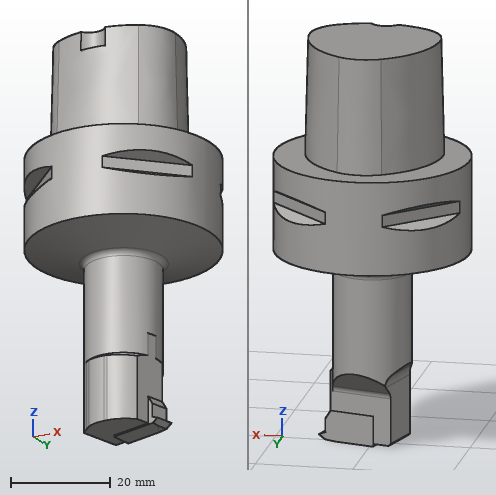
import cadquery as cq
import math


total_length = 84.0
shank_length = 24.0
insert_bottom = shank_length - total_length
insert_overhang = 0.6
head_bottom = insert_bottom + insert_overhang

lobe_directions = (90, 210, 330)
half_arc = 30
lobe_center_distance = 5.6
lobe_base_radius = 9.15
flatter_radius_increase = lobe_center_distance * math.sqrt(3)
shank_taper = 1 / 40

notch_radius = 3.4
notch_center_y = -14.4
notch_depth = 4.0

flange_radius = 40.0 / 2
flange_height = 19.5
neck_radius = 16.0 / 2
cone_angle = 15
cone_height = (flange_radius - neck_radius) * math.tan(math.radians(cone_angle))
neck_fillet = 1.35

groove_count = 4
groove_center_z = -8.1
groove_floor_distance = 17.6
groove_floor_width = 2.4
groove_wall_angle = 30

head_turn = -15
head_top = -44.8
back_flat_x = -5.6
rake_flat_y = 3.1
tip_flat_x = 7.9
tip_flat_top = -39.9
back_runout_end = -46.45
rake_runout_end = -49.4
back_runout_radius = 3.6
rake_runout_radius = 1.7
runout_angle = 45
back_edge_chamfer = 0.5
head_leaves_neck = 244
middle_arc = ((-1.9, -8.0), (0.2, -8.4), (2.35, -8.15))
tip_arc = ((3.1, -8.0), (6.0, -6.5))
tip_arc_end_y = -4.1

insert_seat_y = -1.0
insert_inner_x = -1.7
insert_outer_x = 9.1
insert_top = -53.6
insert_corner_width = 1.2
insert_corner_height = 1.85
tooth_root_z = -58.3
tooth_tip_x = 10.5
tooth_tip_z = -58.9
tooth_heel_z = -59.8
bottom_flat_end_x = 6.7
clearance_angle = 4

block = 50.4


def polar(distance, degrees):
    """Point in the XY plane at a distance from the Z axis and a direction in degrees."""
    angle = math.radians(degrees)
    return cq.Vector(distance * math.cos(angle), distance * math.sin(angle), 0)


def lobed_wire(lobe_radius, z):
    """Smooth closed outline of six 60-degree arcs; a flatter arc faces the lobe it is centred on."""
    flatter_radius = lobe_radius + flatter_radius_increase
    lift = cq.Vector(0, 0, z)
    edges = []
    for direction in lobe_directions:
        center = polar(lobe_center_distance, direction) + lift
        opposite = direction + 180
        for radius, middle in ((lobe_radius, direction), (flatter_radius, opposite)):
            start, through, end = (center + polar(radius, middle + turn) for turn in (-half_arc, 0, half_arc))
            edges.append(cq.Edge.makeThreePointArc(start, through, end))
    return cq.Wire.combine(edges)[0]


def make_shank():
    base = lobed_wire(lobe_base_radius, 0)
    top = lobed_wire(lobe_base_radius - shank_taper * shank_length, shank_length)
    shank = cq.Workplane(cq.Solid.makeLoft([base, top], True))
    notch = (
        cq.Workplane("XY", origin=(0, notch_center_y, shank_length - notch_depth))
        .circle(notch_radius)
        .extrude(notch_depth)
    )
    return shank.cut(notch)


def make_flange_and_neck():
    """Turned flange, its conical underside, and the neck running down through the head."""
    tangent = neck_fillet * math.tan(math.radians(90 - cone_angle) / 2)
    cone_bottom = -flange_height - cone_height
    cone_direction = math.radians(cone_angle)
    fillet_start = (
        neck_radius + tangent * math.cos(cone_direction),
        cone_bottom + tangent * math.sin(cone_direction),
    )
    fillet_end = (neck_radius, cone_bottom - tangent)
    middle = math.radians(180 - (90 - cone_angle) / 2)
    fillet_middle = (
        neck_radius + neck_fillet + neck_fillet * math.cos(middle),
        fillet_end[1] + neck_fillet * math.sin(middle),
    )
    return (
        cq.Workplane("XZ")
        .moveTo(0, 0)
        .lineTo(flange_radius, 0)
        .lineTo(flange_radius, -flange_height)
        .lineTo(*fillet_start)
        .threePointArc(fillet_middle, fillet_end)
        .lineTo(neck_radius, head_bottom)
        .lineTo(0, head_bottom)
        .close()
        .revolve(360, (0, 0, 0), (0, 1, 0))
    )


def groove_cutter(angle):
    """Trapezoidal groove with a straight flat floor, opening outwards."""
    depth = flange_radius - groove_floor_distance
    half_floor = groove_floor_width / 2
    half_mouth = half_floor + depth * math.tan(math.radians(groove_wall_angle))
    return (
        cq.Workplane("XZ", origin=(0, 0, groove_center_z))
        .moveTo(groove_floor_distance, -half_floor)
        .lineTo(flange_radius, -half_mouth)
        .lineTo(flange_radius, half_mouth)
        .lineTo(groove_floor_distance, half_floor)
        .close()
        .extrude(flange_radius, both=True)
        .rotate((0, 0, 0), (0, 0, 1), angle)
    )


def turn_head(body):
    return body.rotate((0, 0, 0), (0, 0, 1), head_turn)


def make_head():
    """Enlarged relief side of the head, with a 45-degree conical shoulder below the neck."""
    back_y = -math.sqrt(neck_radius**2 - back_flat_x**2)
    neck_arc_start = math.degrees(math.atan2(back_y, back_flat_x)) % 360
    neck_arc_middle = (neck_arc_start + head_leaves_neck) / 2
    height = head_top - head_bottom
    outline = (
        cq.Workplane("XY", origin=(0, 0, head_bottom))
        .moveTo(back_flat_x, rake_flat_y)
        .lineTo(back_flat_x, back_y)
        .threePointArc(
            polar(neck_radius, neck_arc_middle).toTuple()[:2],
            polar(neck_radius, head_leaves_neck).toTuple()[:2],
        )
        .lineTo(*middle_arc[0])
        .threePointArc(*middle_arc[1:])
        .lineTo(*tip_arc[0])
        .threePointArc(tip_arc[1], (tip_flat_x, tip_arc_end_y))
        .lineTo(tip_flat_x, rake_flat_y)
        .close()
        .extrude(height)
    )
    shoulder = cq.Workplane(
        cq.Solid.makeCone(neck_radius + height, neck_radius, height, pnt=cq.Vector(0, 0, head_bottom))
    )
    return outline.intersect(shoulder)


def runout_cutter(flat_distance, runout_end, runout_radius):
    """Block facing +X that leaves a flat and runs out upwards by an arc and a sloping line."""
    angle = math.radians(runout_angle)
    center = (flat_distance + runout_radius, runout_end)
    arc_middle = (
        center[0] - runout_radius * math.cos(angle / 2),
        center[1] + runout_radius * math.sin(angle / 2),
    )
    arc_end = (
        center[0] - runout_radius * math.cos(angle),
        center[1] + runout_radius * math.sin(angle),
    )
    run = flange_radius - arc_end[0]
    return (
        cq.Workplane("XZ")
        .moveTo(flat_distance, insert_bottom)
        .lineTo(flat_distance, runout_end)
        .threePointArc(arc_middle, arc_end)
        .lineTo(flange_radius, arc_end[1] + run / math.tan(angle))
        .lineTo(flange_radius, insert_bottom)
        .close()
        .extrude(block / 2, both=True)
    )


def back_flat_cutter():
    return runout_cutter(-back_flat_x, back_runout_end, back_runout_radius).rotate((0, 0, 0), (0, 0, 1), 180)


def rake_flat_cutter():
    return runout_cutter(rake_flat_y, rake_runout_end, rake_runout_radius).rotate((0, 0, 0), (0, 0, 1), 90)


def tip_flat_cutter():
    """Block whose side shaves the neck and the head to a flat."""
    cutter = cq.Workplane("XY").box(block, block, block, centered=(False, True, False))
    return cutter.translate((tip_flat_x, 0, tip_flat_top - block))


def back_chamfer_cutter():
    """Chamfer along the bottom edge of the back flat."""
    return (
        cq.Workplane("XZ")
        .moveTo(back_flat_x, head_bottom)
        .lineTo(back_flat_x + back_edge_chamfer, head_bottom)
        .lineTo(back_flat_x, head_bottom + back_edge_chamfer)
        .close()
        .extrude(block / 2, both=True)
    )


def make_insert():
    """Plate with one pointed tooth at its lower outer corner and a relieved bottom face."""
    thickness = rake_flat_y - insert_seat_y
    plate = (
        cq.Workplane("XZ", origin=(0, rake_flat_y, 0))
        .moveTo(insert_inner_x, insert_bottom)
        .lineTo(insert_inner_x, insert_top)
        .lineTo(insert_outer_x - insert_corner_width, insert_top)
        .lineTo(insert_outer_x, insert_top - insert_corner_height)
        .lineTo(insert_outer_x, tooth_root_z)
        .lineTo(tooth_tip_x, tooth_tip_z)
        .lineTo(insert_outer_x, tooth_heel_z)
        .lineTo(bottom_flat_end_x, insert_bottom)
        .close()
        .extrude(thickness)
    )
    relief_rise = thickness * math.tan(math.radians(clearance_angle))
    relief = (
        cq.Workplane("YZ")
        .moveTo(rake_flat_y, insert_bottom)
        .lineTo(insert_seat_y, insert_bottom)
        .lineTo(insert_seat_y, insert_bottom + relief_rise)
        .close()
        .extrude(block / 2, both=True)
    )
    return turn_head(plate.cut(relief))


def make_holder(seated_insert):
    holder = make_flange_and_neck().union(make_shank()).union(turn_head(make_head()))
    for cutter in (back_flat_cutter(), rake_flat_cutter(), tip_flat_cutter(), back_chamfer_cutter()):
        holder = holder.cut(turn_head(cutter))
    groove_spacing = 360 / groove_count
    for i in range(groove_count):
        holder = holder.cut(groove_cutter((i + 0.5) * groove_spacing))
    return holder.cut(seated_insert)


insert = make_insert()
holder = make_holder(insert)

result = cq.Compound.makeCompound([holder.val(), insert.val()])